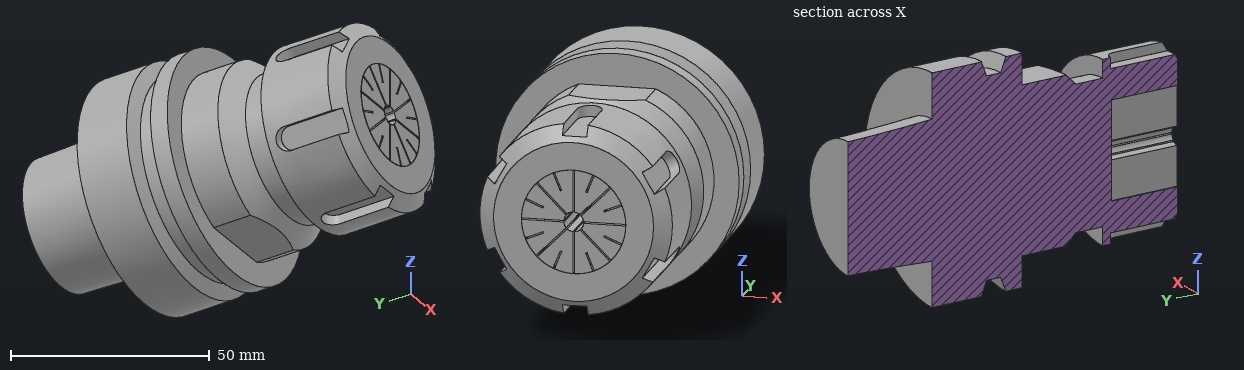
import cadquery as cq

TOTAL_LENGTH = 98.5

NUT_FACE_RADIUS = 20.7
NUT_FRONT_RADIUS = 24.9
NUT_BACK_RADIUS = 25.0
NUT_CHAMFER_LENGTH = 2.7
NUT_LENGTH = 22.6

SPANNER_SLOT_COUNT = 6
SPANNER_SLOT_WIDTH = 6.3
SPANNER_SLOT_FLOOR = 22.1
SPANNER_SLOT_END = 20.1

COLLET_RADIUS = 13.5
COLLET_RECESS = 0.1
COLLET_BORE_RADIUS = 2.6
COLLET_DEPTH = 19.7
COLLET_BASE = 2.0
SLIT_WIDTH = 0.4
LONG_SLIT_COUNT = 8
SHORT_SLIT_COUNT = 8
SHORT_SLIT_INNER_RADIUS = 8.6

NECK_RADIUS = 20.0
BODY_RADIUS = 25.0
BODY_CONE_START = 30.4
BODY_CONE_END = BODY_CONE_START + BODY_RADIUS - NECK_RADIUS
FLAT_DISTANCE = 22.95

FLANGE_RADIUS = 31.5
FLANGE_START = 46.4
FLANGE_WIDTH = 27.0
FLANGE_END = FLANGE_START + FLANGE_WIDTH
GROOVE_RADIUS = 27.5
GROOVE_CENTRE = 55.0
GROOVE_FLOOR_WIDTH = 4.1
GROOVE_MOUTH_WIDTH = 7.2

SHANK_BASE_RADIUS = 19.1
SHANK_MIDDLE_RADIUS = 18.4
SHANK_END_RADIUS = 18.0


def make_revolved_body():
    """Turn the whole outer profile, drawn as (radius, Y), about the Y axis."""
    half_floor = GROOVE_FLOOR_WIDTH / 2
    half_mouth = GROOVE_MOUTH_WIDTH / 2
    return (
        cq.Workplane("XY")
        .moveTo(0, 0)
        .lineTo(NUT_FACE_RADIUS, 0)
        .lineTo(NUT_FRONT_RADIUS, NUT_CHAMFER_LENGTH)
        .lineTo(NUT_BACK_RADIUS, NUT_LENGTH)
        .lineTo(NECK_RADIUS, NUT_LENGTH)
        .lineTo(NECK_RADIUS, BODY_CONE_START)
        .lineTo(BODY_RADIUS, BODY_CONE_END)
        .lineTo(BODY_RADIUS, FLANGE_START)
        .lineTo(FLANGE_RADIUS, FLANGE_START)
        .lineTo(FLANGE_RADIUS, GROOVE_CENTRE - half_mouth)
        .lineTo(GROOVE_RADIUS, GROOVE_CENTRE - half_floor)
        .lineTo(GROOVE_RADIUS, GROOVE_CENTRE + half_floor)
        .lineTo(FLANGE_RADIUS, GROOVE_CENTRE + half_mouth)
        .lineTo(FLANGE_RADIUS, FLANGE_END)
        .lineTo(SHANK_BASE_RADIUS, FLANGE_END)
        .threePointArc(
            (SHANK_MIDDLE_RADIUS, (FLANGE_END + TOTAL_LENGTH) / 2),
            (SHANK_END_RADIUS, TOTAL_LENGTH),
        )
        .lineTo(0, TOTAL_LENGTH)
        .close()
        .revolve(360, (0, 0, 0), (0, 1, 0))
    )


def cut_body_flats(part):
    """Cut the two spanner flats on the +Z and -Z sides of the body."""
    flat_length = FLANGE_START - BODY_CONE_START
    flat_depth = BODY_RADIUS - FLAT_DISTANCE
    for side in (1, -1):
        cutter = cq.Workplane("XY").box(2 * BODY_RADIUS, flat_length, flat_depth).translate(
            (0, BODY_CONE_START + flat_length / 2, side * (FLAT_DISTANCE + flat_depth / 2))
        )
        part = part.cut(cutter)
    return part


def cut_spanner_slots(part):
    """Cut the round-ended slots that run out through the nut's front chamfer."""
    half_width = SPANNER_SLOT_WIDTH / 2
    cutter = (
        cq.Workplane("XY", origin=(0, 0, SPANNER_SLOT_FLOOR))
        .moveTo(-half_width, 0)
        .lineTo(half_width, 0)
        .lineTo(half_width, SPANNER_SLOT_END - half_width)
        .threePointArc((0, SPANNER_SLOT_END), (-half_width, SPANNER_SLOT_END - half_width))
        .close()
        .extrude(NUT_BACK_RADIUS - SPANNER_SLOT_FLOOR)
    )
    for index in range(SPANNER_SLOT_COUNT):
        angle = index * 360 / SPANNER_SLOT_COUNT
        part = part.cut(cutter.rotate((0, 0, 0), (0, 1, 0), angle))
    return part


def make_disc(radius, start, end):
    """Cylinder on the axis between two Y positions."""
    return cq.Workplane("XZ", origin=(0, start, 0)).circle(radius).extrude(start - end)


def cut_slits(collet, count, inner_radius, first_angle):
    """Cut a ring of thin radial slits from inner_radius out through the rim."""
    length = COLLET_RADIUS + SLIT_WIDTH - inner_radius
    blade = cq.Workplane("XY").box(length, COLLET_DEPTH, SLIT_WIDTH).translate(
        (inner_radius + length / 2, COLLET_DEPTH / 2, 0)
    )
    for index in range(count):
        angle = first_angle + index * 360 / count
        collet = collet.cut(blade.rotate((0, 0, 0), (0, 1, 0), angle))
    return collet


def make_collet():
    """Front of the collet, with its bore and slits, on a solid base disc."""
    collet = make_disc(COLLET_RADIUS, COLLET_RECESS, COLLET_DEPTH + COLLET_BASE)
    collet = collet.cut(make_disc(COLLET_BORE_RADIUS, 0, COLLET_DEPTH))
    collet = cut_slits(collet, LONG_SLIT_COUNT, COLLET_BORE_RADIUS / 2, 0)
    return cut_slits(collet, SHORT_SLIT_COUNT, SHORT_SLIT_INNER_RADIUS, 180 / SHORT_SLIT_COUNT)


result = make_revolved_body()
result = cut_body_flats(result)
result = cut_spanner_slots(result)
result = result.cut(make_disc(COLLET_RADIUS, 0, COLLET_DEPTH + COLLET_BASE))
result = result.union(make_collet())